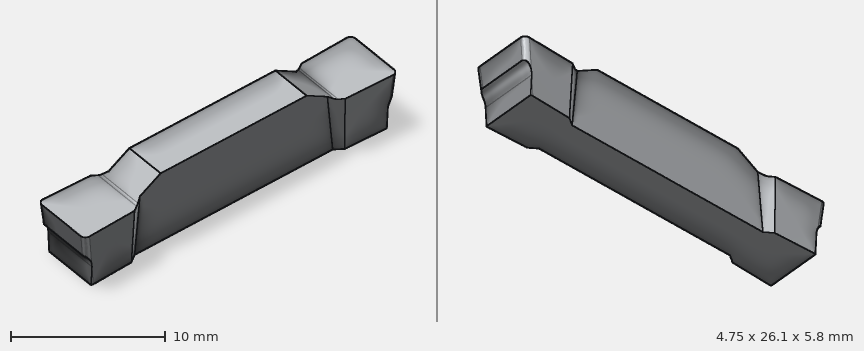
import cadquery as cq
import math

length = 26.1
height = 5.8
seat_height = 4.5
body_width = 3.2

head_front_width = 4.78
head_back_width = 4.5
head_back = 8.77
neck_end = 7.83
corner_radius = 0.4
side_draft = math.radians(2.5)
front_draft = math.radians(6)
head_back_lean = 0.1
neck_lean = 0.42

crest_half_length = 6.08
ramp_foot = 8.28
ramp_blend_radius = 0.42

relief_half_length = 12.32
relief_top = 2.72
relief_arc_bottom = 1.65


def head_plan(z):
    """Corner points of the +Y head and its neck at height z."""
    depth = seat_height - z
    narrowing = depth * math.tan(side_draft)
    front_x = head_front_width / 2 - narrowing
    back_x = head_back_width / 2 - narrowing
    front_y = length / 2 - depth * math.tan(front_draft)
    back_y = head_back + head_back_lean * depth / seat_height
    neck_y = neck_end + neck_lean * depth / seat_height
    right = [(body_width / 2, neck_y), (back_x, back_y), (front_x, front_y)]
    left = [(-x, y) for x, y in reversed(right)]
    return right + left


def make_head():
    """Drafted head with rounded front corners, extended up to the full height."""
    head = (
        cq.Workplane("XY")
        .polyline(head_plan(0)).close()
        .workplane(offset=height)
        .polyline(head_plan(height)).close()
        .loft(ruled=True, combine=True)
    )
    front_corners = head.faces(">Y").edges("not #Z").edges("not |X")
    return front_corners.fillet(corner_radius)


def make_side_profile():
    """Side outline extruded across the width: crest, ramps, seats and end reliefs."""
    end_y = length / 2
    lip_y = end_y - (seat_height - relief_top) * math.tan(front_draft)

    arc_depth = lip_y - relief_half_length
    arc_rise = relief_top - relief_arc_bottom
    arc_radius = (arc_depth**2 + arc_rise**2) / (2 * arc_depth)
    half_angle = math.asin(arc_rise / arc_radius) / 2
    arc_middle_y = relief_half_length + arc_radius * (1 - math.cos(half_angle))
    arc_middle_z = relief_arc_bottom + arc_radius * math.sin(half_angle)

    profile = (
        cq.Workplane("YZ")
        .moveTo(-relief_half_length, 0)
        .lineTo(relief_half_length, 0)
        .lineTo(relief_half_length, relief_arc_bottom)
        .threePointArc((arc_middle_y, arc_middle_z), (lip_y, relief_top))
        .lineTo(end_y, seat_height)
        .lineTo(ramp_foot, seat_height)
        .lineTo(crest_half_length, height)
        .lineTo(-crest_half_length, height)
        .lineTo(-ramp_foot, seat_height)
        .lineTo(-end_y, seat_height)
        .lineTo(-lip_y, relief_top)
        .threePointArc((-arc_middle_y, arc_middle_z), (-relief_half_length, relief_arc_bottom))
        .close()
        .extrude(head_front_width, both=True)
    )
    ramp_feet = cq.selectors.BoxSelector(
        (-0.25, -ramp_foot - 0.25, seat_height - 0.25),
        (0.25, ramp_foot + 0.25, seat_height + 0.25),
    )
    return profile.edges("|X").edges(ramp_feet).fillet(ramp_blend_radius)


body_length = 2 * (neck_end + neck_lean + 0.25)
body = cq.Workplane("XY").box(body_width, body_length, height, centered=(True, True, False))
head = make_head()
opposite_head = head.mirror("XZ")
result = body.union(head).union(opposite_head).intersect(make_side_profile())